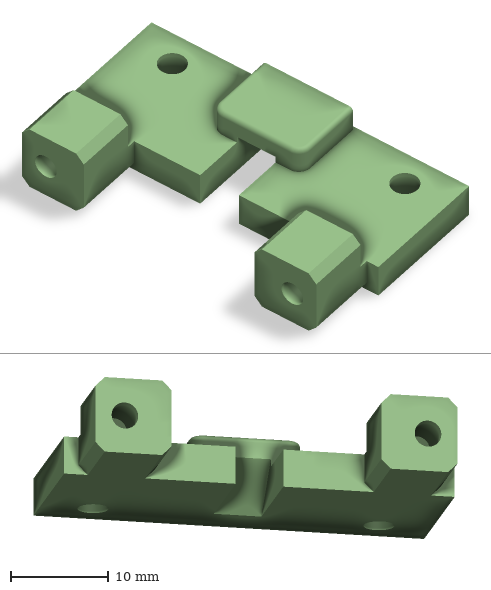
import cadquery as cq


plate_width = 41.0
plate_depth = 15.4
plate_height = 3.98
overall_depth = 24.0

arm_size = 8.0
arm_center_x = 15.0
arm_chamfer = 1.0
step_y = -16.5
face_plate_thickness = 1.0
socket_diameter = 2.8
socket_x = 15.9
socket_z = arm_size / 2
socket_depth = 5.75

mount_diameter = 3.2
mount_x = arm_center_x
mount_y = -3.7

pad_width = 11.7
pad_back_y = -0.4
pad_front_y = -9.2
pad_top = 7.0
pad_corner_radius = 1.48
pad_edge_radius = 0.55

slot_width = 5.0
ramp_top = 4.75

arm_front_y = -overall_depth + face_plate_thickness
slot_overrun = 0.4


def block(width, center_x, front_y, back_y, bottom, top):
    """Axis-aligned box centred on center_x."""
    return cq.Workplane("XY").box(width, back_y - front_y, top - bottom, centered=(True, False, False)).translate(
        (center_x, front_y, bottom)
    )


def chamfered_bar(center_x, front_y, back_y):
    """Square bar along Y with its four long edges chamfered."""
    return block(arm_size, center_x, front_y, back_y, 0, arm_size).edges("|Y").chamfer(arm_chamfer)


def socket_cutter(side):
    """Blind bore running back from the front face; side is -1 or 1."""
    return (
        cq.Workplane("XZ", origin=(side * socket_x, -overall_depth, socket_z))
        .circle(socket_diameter / 2)
        .extrude(-socket_depth)
    )


def make_arm(side):
    """Arm on one side, stepped down to the plate height where it meets the plate."""
    center_x = side * arm_center_x
    bar = chamfered_bar(center_x, arm_front_y, -plate_depth)
    step = block(arm_size, center_x, step_y, -plate_depth, plate_height, arm_size)
    return bar.cut(step)


def make_pad():
    """Pad with rounded front corners and rounded top edges, square along the back."""
    pad = block(pad_width, 0, pad_front_y, pad_back_y, plate_height, pad_top)
    pad = pad.edges("|Z and <Y").fillet(pad_corner_radius)
    return pad.faces(">Z").edges("not >Y").fillet(pad_edge_radius)


def slot_cutter():
    """Slot profile in the YZ plane, extruded across the slot width."""
    slot_front_y = -plate_depth - slot_overrun
    return (
        cq.Workplane("YZ")
        .polyline(
            [
                (slot_front_y, 0),
                (pad_front_y + ramp_top, 0),
                (pad_front_y, ramp_top),
                (slot_front_y, ramp_top),
            ]
        )
        .close()
        .extrude(slot_width / 2, both=True)
    )


def make_bracket():
    """Plate, pad and both arms as one body."""
    bracket = block(plate_width, 0, -plate_depth, 0, 0, plate_height).union(make_pad())
    for side in (-1, 1):
        bracket = bracket.union(make_arm(side)).cut(socket_cutter(side))
    bracket = bracket.cut(slot_cutter())
    mount_holes = (
        cq.Workplane("XY")
        .pushPoints([(-mount_x, mount_y), (mount_x, mount_y)])
        .circle(mount_diameter / 2)
        .extrude(plate_height)
    )
    return bracket.cut(mount_holes)


def make_face_plate(side):
    """Thin plate on the front of an arm, with the bore passing through it."""
    plate = chamfered_bar(side * arm_center_x, -overall_depth, arm_front_y)
    return plate.cut(socket_cutter(side))


bracket = make_bracket()
face_plates = [make_face_plate(side) for side in (-1, 1)]

result = cq.Compound.makeCompound([bracket.solids().val(), *[plate.solids().val() for plate in face_plates]])